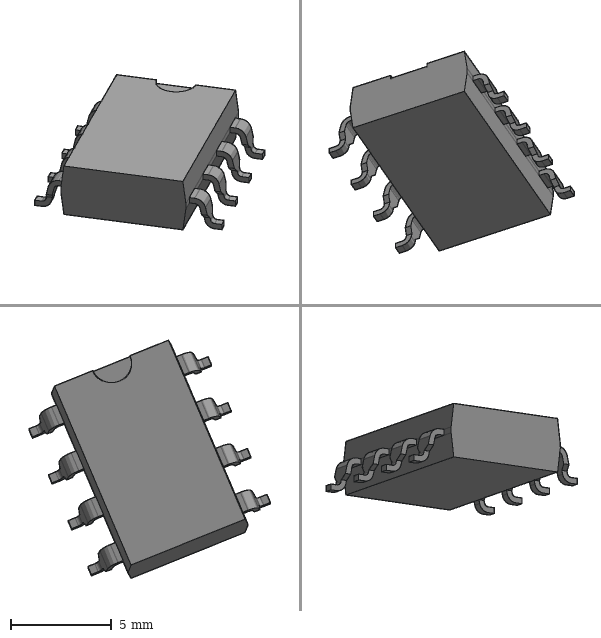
import cadquery as cq
import math

span_x = 9.62
body_length = 9.91
overall_height = 2.95
standoff = 0.22

body_mid_width = 6.43
body_end_width = 6.12

notch_radius = 1.0
notch_depth = 0.2

leads_per_side = 4
lead_pitch = 2.54
lead_thickness = 0.30
shoulder_width = 1.00
foot_width = 0.45
shoulder_top = 1.73
taper_top = 0.86
foot_flat = 0.37
shoulder_bend_start = 1.32
shoulder_inner_radius = 0.27
foot_inner_radius = 0.21

shoulder_bottom = shoulder_top - lead_thickness
shoulder_outer_radius = shoulder_inner_radius + lead_thickness
foot_outer_radius = foot_inner_radius + lead_thickness
taper_bottom = taper_top - (shoulder_width - foot_width) / 2


def make_body():
    half_mid = body_mid_width / 2
    half_end = body_end_width / 2
    block = (
        cq.Workplane("XZ")
        .polyline([
            (-half_end, standoff),
            (half_end, standoff),
            (half_mid, shoulder_bottom),
            (half_mid, shoulder_top),
            (half_end, overall_height),
            (-half_end, overall_height),
            (-half_mid, shoulder_top),
            (-half_mid, shoulder_bottom),
        ])
        .close()
        .extrude(body_length / 2, both=True)
    )
    notch = (
        cq.Workplane("XY", origin=(0, body_length / 2, overall_height - notch_depth))
        .circle(notch_radius)
        .extrude(notch_depth)
    )
    return block.cut(notch)


def on_arc(centre, radius, angle):
    return (centre[0] + radius * math.cos(angle), centre[1] + radius * math.sin(angle))


def make_left_lead():
    """Gull-wing lead on the -X side, centred on Y = 0."""
    tip_x = -span_x / 2
    root_x = -body_mid_width / 2
    foot_centre = (tip_x + foot_flat, lead_thickness + foot_inner_radius)
    shoulder_centre = (tip_x + shoulder_bend_start, shoulder_top - shoulder_outer_radius)

    run = shoulder_centre[0] - foot_centre[0]
    rise = shoulder_centre[1] - foot_centre[1]
    radius_sum = foot_inner_radius + shoulder_outer_radius
    leg_angle = math.atan2(rise, run) + math.asin(radius_sum / math.hypot(run, rise))

    foot_end = leg_angle - math.pi / 2
    foot_mid = (foot_end - math.pi / 2) / 2
    shoulder_end = leg_angle + math.pi / 2
    shoulder_mid = (shoulder_end + math.pi / 2) / 2

    strip = (
        cq.Workplane("XZ")
        .moveTo(tip_x, 0)
        .lineTo(foot_centre[0], 0)
        .threePointArc(
            on_arc(foot_centre, foot_outer_radius, foot_mid),
            on_arc(foot_centre, foot_outer_radius, foot_end),
        )
        .lineTo(*on_arc(shoulder_centre, shoulder_inner_radius, shoulder_end))
        .threePointArc(
            on_arc(shoulder_centre, shoulder_inner_radius, shoulder_mid),
            (shoulder_centre[0], shoulder_bottom),
        )
        .lineTo(root_x, shoulder_bottom)
        .lineTo(root_x, shoulder_top)
        .lineTo(shoulder_centre[0], shoulder_top)
        .threePointArc(
            on_arc(shoulder_centre, shoulder_outer_radius, shoulder_mid),
            on_arc(shoulder_centre, shoulder_outer_radius, shoulder_end),
        )
        .lineTo(*on_arc(foot_centre, foot_inner_radius, foot_end))
        .threePointArc(
            on_arc(foot_centre, foot_inner_radius, foot_mid),
            (foot_centre[0], lead_thickness),
        )
        .lineTo(tip_x, lead_thickness)
        .close()
        .extrude(shoulder_width / 2, both=True)
    )
    outline = (
        cq.Workplane("YZ", origin=(tip_x, 0, 0))
        .polyline([
            (-foot_width / 2, 0),
            (foot_width / 2, 0),
            (foot_width / 2, taper_bottom),
            (shoulder_width / 2, taper_top),
            (shoulder_width / 2, shoulder_top),
            (-shoulder_width / 2, shoulder_top),
            (-shoulder_width / 2, taper_top),
            (-foot_width / 2, taper_bottom),
        ])
        .close()
        .extrude(root_x - tip_x)
    )
    return strip.intersect(outline)


body = make_body()
left_lead = make_left_lead()
right_lead = left_lead.mirror("YZ")

leads = []
for index in range(leads_per_side):
    lead_y = (index - (leads_per_side - 1) / 2) * lead_pitch
    for lead in (left_lead, right_lead):
        leads.append(lead.translate((0, lead_y, 0)).val())

result = cq.Compound.makeCompound([body.val(), *leads])